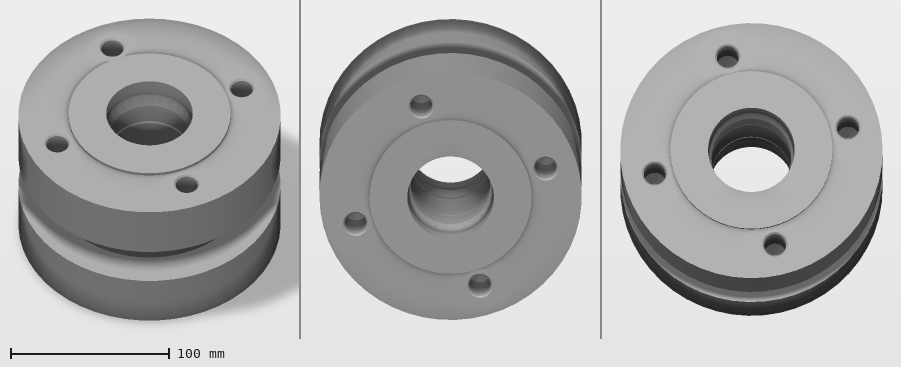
import cadquery as cq
import math

flange_diameter = 165.0
total_height = 105.0
raised_face_diameter = 102.0
raised_face_height = 2.0
flange_thickness = 37.0
neck_diameter = 125.0

bore_diameter = 50.0
socket_diameter = 54.5
socket_depth = 12.0
taper_angle = 15.0

groove_top_z = 17.8
groove_width = 1.0
groove_depth = 3.3
groove_lip_radius = 1.3

bolt_circle_diameter = 125.0
bolt_count = 4
bolt_start_angle = 45.0
bolt_hole_diameter = 13.9
bolt_hole_depth = 26.4
bolt_mouth_diameter = 16.0
drill_point_angle = 118.0

half_height = total_height / 2
flange_outer_z = half_height - raised_face_height
flange_inner_z = flange_outer_z - flange_thickness


def cylinder(diameter, bottom, top):
    """Cylinder on the Z axis between two heights."""
    return cq.Workplane("XY").workplane(offset=bottom).circle(diameter / 2).extrude(top - bottom)


def bolt_hole():
    """Blind hole on the Z axis from the top flange face, with a bevelled mouth and a drill point."""
    radius = bolt_hole_diameter / 2
    mouth_radius = bolt_mouth_diameter / 2
    bevel = mouth_radius - radius
    bottom = flange_outer_z - bolt_hole_depth
    point_length = radius / math.tan(math.radians(drill_point_angle / 2))
    profile = [
        (0, flange_outer_z),
        (mouth_radius, flange_outer_z),
        (radius, flange_outer_z - bevel),
        (radius, bottom),
        (0, bottom - point_length),
    ]
    return cq.Workplane("XZ").polyline(profile).close().revolve(360, (0, 0, 0), (0, 1, 0))


def socket():
    """Upper end of the bore: a straight socket that tapers down to the bore diameter."""
    radius = socket_diameter / 2
    bore_radius = bore_diameter / 2
    taper_top = half_height - socket_depth
    taper_bottom = taper_top - (radius - bore_radius) / math.tan(math.radians(taper_angle))
    profile = [
        (0, half_height),
        (radius, half_height),
        (radius, taper_top),
        (bore_radius, taper_bottom),
        (0, taper_bottom),
    ]
    return cq.Workplane("XZ").polyline(profile).close().revolve(360, (0, 0, 0), (0, 1, 0))


def bore_groove():
    """Upper ring groove in the bore, flat above and rounded into the bore below."""
    bore_radius = bore_diameter / 2
    floor_radius = bore_radius + groove_depth
    lip_z = groove_top_z - groove_width
    lip_center = (bore_radius + groove_lip_radius, lip_z - groove_lip_radius)
    arc_offset = groove_lip_radius * math.sqrt(0.5)
    return (
        cq.Workplane("XZ")
        .moveTo(0, groove_top_z)
        .lineTo(floor_radius, groove_top_z)
        .lineTo(floor_radius, lip_z)
        .lineTo(lip_center[0], lip_z)
        .threePointArc(
            (lip_center[0] - arc_offset, lip_center[1] + arc_offset),
            (bore_radius, lip_center[1]),
        )
        .lineTo(0, lip_center[1])
        .close()
        .revolve(360, (0, 0, 0), (0, 1, 0))
    )


body = cylinder(raised_face_diameter, -half_height, half_height)
body = body.union(cylinder(neck_diameter, -flange_inner_z, flange_inner_z))
top_flange = cylinder(flange_diameter, flange_inner_z, flange_outer_z)
body = body.union(top_flange).union(top_flange.mirror("XY"))

body = body.cut(cylinder(bore_diameter, -half_height, half_height))
top_socket = socket()
body = body.cut(top_socket).cut(top_socket.mirror("XY"))

top_groove = bore_groove()
body = body.cut(top_groove).cut(top_groove.mirror("XY"))

for index in range(bolt_count):
    angle = bolt_start_angle + index * 360 / bolt_count
    hole = bolt_hole().translate((bolt_circle_diameter / 2, 0, 0)).rotate((0, 0, 0), (0, 0, 1), angle)
    body = body.cut(hole).cut(hole.mirror("XY"))

result = body